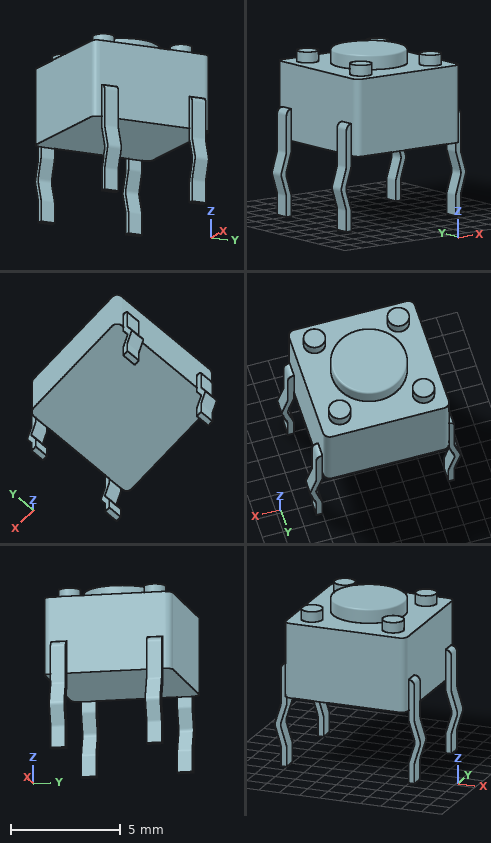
import cadquery as cq

body_side = 6.0
body_height = 3.595
body_bottom = 3.5
body_corner_radius = 0.32
body_top = body_bottom + body_height

button_diameter = 3.5
button_top = 7.8
button_edge_radius = 0.1

peg_diameter = 1.0
peg_height = 0.5
peg_offset = 2.0

lead_width = 0.7
lead_thickness = 0.29
lead_offset = 2.25
lead_top = 5.0
kink_half_height = 1.0
kink_bottom = 1.0
kink_depth = 0.31
bend_radius = 0.31
kink_apex = kink_bottom + kink_half_height
kink_top = kink_apex + kink_half_height


def make_body():
    return (
        cq.Workplane("XY", origin=(0, 0, body_bottom))
        .rect(body_side, body_side)
        .extrude(body_height)
        .edges("|Z")
        .fillet(body_corner_radius)
    )


def make_button():
    return (
        cq.Workplane("XY", origin=(0, 0, body_top))
        .circle(button_diameter / 2)
        .extrude(button_top - body_top)
        .faces(">Z")
        .edges()
        .fillet(button_edge_radius)
    )


def make_pegs():
    return (
        cq.Workplane("XY", origin=(0, 0, body_top))
        .rect(2 * peg_offset, 2 * peg_offset, forConstruction=True)
        .vertices()
        .circle(peg_diameter / 2)
        .extrude(peg_height)
    )


def make_lead(y_center):
    """One lead on the +X wall, its top rounded over into the wall."""
    inner = body_side / 2
    outer = inner + lead_thickness
    inner_face = [
        (inner, lead_top),
        (inner, kink_top),
        (inner + kink_depth, kink_apex),
        (inner, kink_bottom),
        (inner, 0),
    ]
    outer_face = [
        (outer, 0),
        (outer, kink_bottom),
        (outer + kink_depth, kink_apex),
        (outer, kink_top),
        (outer, lead_top - lead_thickness),
    ]
    strip = (
        cq.Workplane("XZ", origin=(0, y_center, 0))
        .polyline(inner_face + outer_face)
        .tangentArcPoint((inner, lead_top), relative=False)
        .close()
        .extrude(lead_width / 2, both=True)
    )
    bend_zone = cq.selectors.BoxSelector(
        (0, y_center - lead_width, kink_bottom - bend_radius),
        (body_side, y_center + lead_width, kink_top + bend_radius),
    )
    return strip.edges("|Y").edges(bend_zone).fillet(bend_radius)


result = make_body().union(make_button()).union(make_pegs())
for y_center in (-lead_offset, lead_offset):
    lead = make_lead(y_center)
    result = result.union(lead).union(lead.mirror("YZ"))